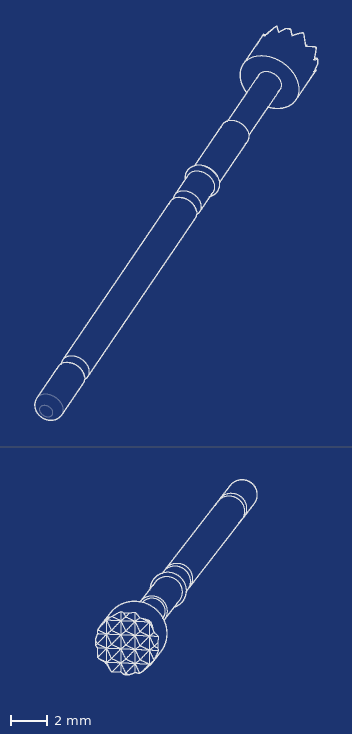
import cadquery as cq
import math

total_length = 35.4
head_diameter = 3.5
head_length = 3.0
plunger_diameter = 1.4
plunger_length = 5.0
barrel_diameter = 1.65
tail_flat_diameter = 0.78
ring_diameter = 2.02
ring_width = 0.5
ring_y = 22.65
crimp_width = 0.65
crimp_waist_diameter = 1.35
crimp_positions = (3.9, 20.15)
teeth_per_row = 5
tooth_row_span = 3.2
tooth_angle = 60.0

head_radius = head_diameter / 2
plunger_radius = plunger_diameter / 2
barrel_radius = barrel_diameter / 2
ring_radius = ring_diameter / 2
crimp_waist_radius = crimp_waist_diameter / 2
tail_flat_radius = tail_flat_diameter / 2
tail_round_radius = barrel_radius - tail_flat_radius
head_base_y = total_length - head_length
barrel_end_y = head_base_y - plunger_length
tooth_pitch = tooth_row_span / (teeth_per_row - 1)
tooth_depth = tooth_pitch / 2 / math.tan(math.radians(tooth_angle / 2))


def barrel_arc(profile, center_y, width, middle_radius):
    """Follow the barrel up to an arc that bulges or dips to middle_radius."""
    return (
        profile
        .lineTo(barrel_radius, center_y - width / 2)
        .threePointArc((middle_radius, center_y), (barrel_radius, center_y + width / 2))
    )


def turned_body():
    """Half outline in X (radius) and Y (length), revolved about the Y axis."""
    profile = (
        cq.Workplane("XY")
        .lineTo(tail_flat_radius, 0)
        .radiusArc((barrel_radius, tail_round_radius), -tail_round_radius)
    )
    for crimp_y in crimp_positions:
        profile = barrel_arc(profile, crimp_y, crimp_width, crimp_waist_radius)
    profile = barrel_arc(profile, ring_y, ring_width, ring_radius)
    profile = (
        profile
        .lineTo(barrel_radius, barrel_end_y)
        .lineTo(plunger_radius, barrel_end_y)
        .lineTo(plunger_radius, head_base_y)
        .lineTo(head_radius, head_base_y)
        .lineTo(head_radius, total_length)
        .lineTo(0, total_length)
        .close()
    )
    return profile.revolve(360, (0, 0, 0), (0, 1, 0))


def tooth_groove(center_x):
    """V groove across the head face, running along Z."""
    return (
        cq.Workplane("XY")
        .moveTo(center_x - tooth_pitch / 2, total_length)
        .lineTo(center_x, total_length - tooth_depth)
        .lineTo(center_x + tooth_pitch / 2, total_length)
        .close()
        .extrude(head_diameter, both=True)
    )


result = turned_body()
groove_count = teeth_per_row + 1
for index in range(groove_count):
    groove_x = (index - (groove_count - 1) / 2) * tooth_pitch
    groove_along_z = tooth_groove(groove_x)
    groove_along_x = groove_along_z.rotate((0, 0, 0), (0, 1, 0), 90)
    result = result.cut(groove_along_z).cut(groove_along_x)